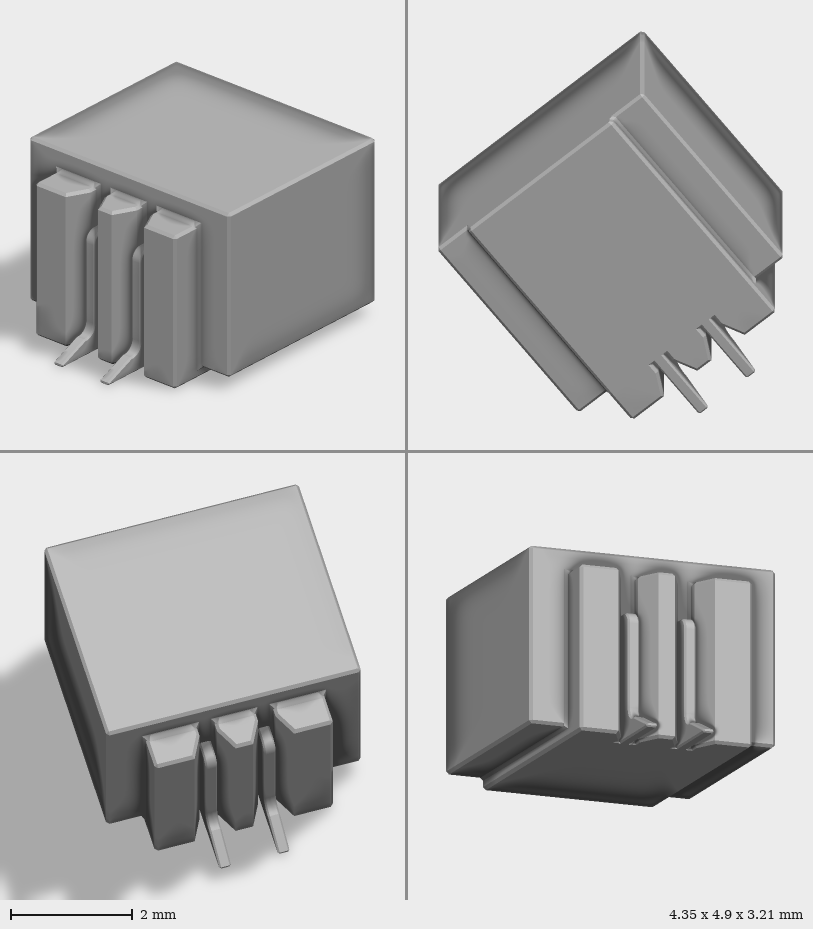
import cadquery as cq
block_width = 4.35
block_depth = 3.7
total_height = 3.21
base_width = 3.05
base_height = 0.2
edge_chamfer = 0.05

rib_height = 2.815
rib_reach = 0.6
rib_straight = 0.2
rib_taper = 0.2
ramp_length = 0.11
ramp_rise = 0.045
collar_depth = 1.5 * edge_chamfer

pin_pitch = 1.0
pin_width = 0.2
pin_gap = 0.3
pin_reach = 1.2
pin_chamfer = 0.03
pin_height = 2.155
pin_ledge = 0.2
bend_radius = 0.2
foot_height = 0.305
foot_flat = 0.625
tip_height = 0.06
tip_bevel = 0.025

base_half = base_width / 2
middle_half = (pin_pitch - pin_gap) / 2
outer_start = (pin_pitch + pin_gap) / 2


def block():
    upper_height = total_height - base_height
    box = cq.Workplane("XY").box(block_width, block_depth, upper_height, centered=(True, False, False))
    return box.edges().chamfer(edge_chamfer).translate((0, 0, base_height))


def base_prism(y_front, y_back, top):
    """Base section with bevelled lower edges, flared where it meets the underside of the block."""
    flare_half = base_half + edge_chamfer
    right_side = [
        (base_half - edge_chamfer, 0),
        (base_half, edge_chamfer),
        (base_half, base_height - edge_chamfer),
        (flare_half, base_height),
        (flare_half, top),
    ]
    left_side = [(-x, z) for x, z in reversed(right_side)]
    section = cq.Workplane("XZ", origin=(0, y_back, 0)).polyline(right_side + left_side).close()
    return section.extrude(y_back - y_front)


def base():
    prism = base_prism(0, block_depth, base_height + edge_chamfer)
    return prism.faces(">Y").edges("not(>Z)").chamfer(edge_chamfer)


def rib(outline):
    """Edges to chamfer around the top and bottom of an upright rib, open towards the block."""
    prism = cq.Workplane("XY").polyline(outline).close().extrude(rib_height)
    return prism.edges("(>Z or <Z) and (not >Y)")


def middle_rib():
    tip_half = middle_half - rib_taper
    right_side = [(middle_half, 0), (middle_half, -rib_straight), (tip_half, -rib_reach)]
    left_side = [(-x, y) for x, y in reversed(right_side)]
    return rib(right_side + left_side).chamfer(edge_chamfer)


def outer_rib():
    outline = [
        (outer_start, 0),
        (outer_start, -rib_straight),
        (outer_start + rib_taper, -rib_reach),
        (base_half, -rib_reach),
        (base_half, 0),
    ]
    edges = rib(outline)
    square_corner = edges.end(1).edges("|Z and >X and <Y")
    return edges.add(square_corner).chamfer(edge_chamfer)


def collar(x_low, x_high):
    """45 degree flare around the root of a rib, with sharp corners."""
    width = x_high - x_low + 2 * edge_chamfer
    height = rib_height + edge_chamfer
    root = cq.Workplane("XZ", origin=((x_low + x_high) / 2, 0, height / 2)).rect(width, height)
    return root.extrude(collar_depth, taper=45)


def ramp(x_low, x_high):
    """Shallow slope from the rib top up to the block, its sides in line with the rib chamfers."""
    low = rib_height - edge_chamfer
    high = rib_height + ramp_rise
    inset = edge_chamfer + ramp_rise
    section = [(x_low, low), (x_low + inset, high), (x_high - inset, high), (x_high, low)]
    slope = [(0, low), (0, high), (-ramp_length, rib_height), (-ramp_length, low)]
    flanks = cq.Workplane("XZ").polyline(section).close().extrude(ramp_length)
    wedge = cq.Workplane("YZ", origin=(x_low, 0, 0)).polyline(slope).close().extrude(x_high - x_low)
    return flanks.intersect(wedge)


def middle_rib_with_root():
    return middle_rib().union(collar(-middle_half, middle_half)).union(ramp(-middle_half, middle_half))


def outer_rib_with_root():
    base_flare = base_prism(-rib_reach, block_depth, total_height)
    flare = collar(outer_start, base_half).intersect(base_flare)
    return outer_rib().union(flare).union(ramp(outer_start, base_half))


def make_housing():
    outer = outer_rib_with_root()
    return block().union(base()).union(middle_rib_with_root()).union(outer).union(outer.mirror("YZ"))


def make_pin(x_centre):
    """Pin that leaves the block, bends down along its face and ends in a sloping foot."""
    stem_front = pin_ledge + bend_radius
    outline = (
        cq.Workplane("YZ", origin=(x_centre - pin_width / 2, 0, 0))
        .lineTo(0, pin_height)
        .lineTo(-pin_ledge, pin_height)
        .radiusArc((-stem_front, pin_height - bend_radius), -bend_radius)
        .lineTo(-stem_front, foot_height + bend_radius)
        .radiusArc((-stem_front - bend_radius, foot_height), bend_radius)
        .lineTo(-foot_flat, foot_height)
        .lineTo(-pin_reach, tip_height)
        .lineTo(-pin_reach, 0)
        .close()
    )
    blank = outline.extrude(pin_width).edges("|X and <Y and <Z").chamfer(tip_bevel)
    return blank.faces("<X or >X").edges("not >Y").chamfer(pin_chamfer)


housing = make_housing()
pins = [make_pin(side * pin_pitch / 2) for side in (-1, 1)]
result = cq.Compound.makeCompound([housing.val(), *[pin.val() for pin in pins]])